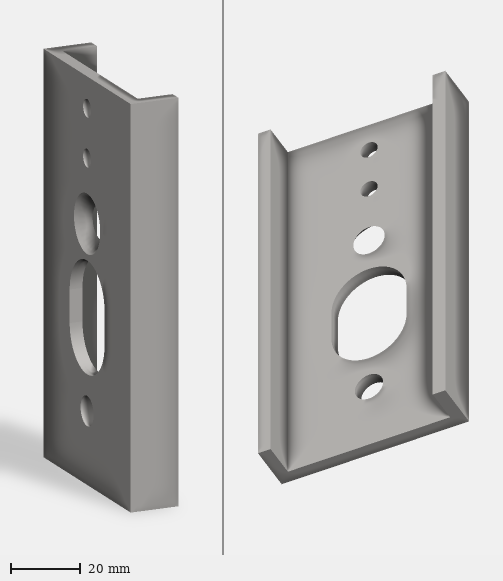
import cadquery as cq

length = 122.0
width = 60.0
depth = 15.0
wall = 4.0

small_hole_diameter = 5.5
small_hole_heights = (97.6, 112.5)
lower_hole_diameter = 9.0
lower_hole_height = 22.1
slot_width = 24.0
slot_length = 34.0
slot_height = 50.0
countersink_diameter = 18.0
countersink_height = 78.0
countersink_inner_diameter = countersink_diameter - 2 * wall


def front_face(height):
    """Sketch plane on the front face, facing into the plate (+Y)."""
    return cq.Workplane("XZ", origin=(0, 0, height))


def round_hole(diameter, height):
    return front_face(height).circle(diameter / 2).extrude(-wall)


def channel():
    block = cq.Workplane("XY").box(width, depth, length, centered=(True, False, False))
    cavity = (
        cq.Workplane("XY", origin=(0, wall, 0))
        .box(width - 2 * wall, depth - wall, length, centered=(True, False, False))
    )
    return block.cut(cavity)


def slot():
    return front_face(slot_height).slot2D(slot_length, slot_width, 90).extrude(-wall)


def countersink():
    return (
        front_face(countersink_height)
        .circle(countersink_diameter / 2)
        .workplane(offset=-wall)
        .circle(countersink_inner_diameter / 2)
        .loft(ruled=True)
    )


result = channel()
for hole_height in small_hole_heights:
    result = result.cut(round_hole(small_hole_diameter, hole_height))
result = result.cut(round_hole(lower_hole_diameter, lower_hole_height))
result = result.cut(slot())
result = result.cut(countersink())